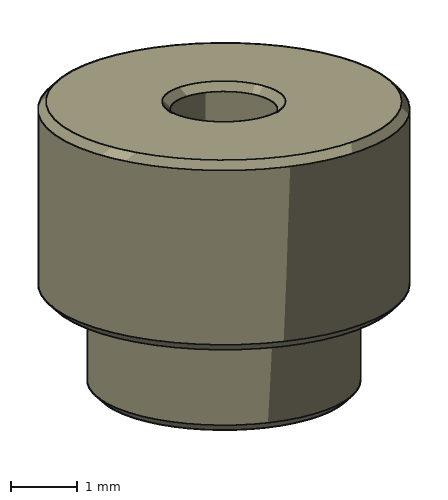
import cadquery as cq

head_diameter = 5.56
boss_diameter = 4.09
bore_diameter = 1.6
total_height = 4.53
head_height = 3.0
edge_chamfer = 0.12

boss_height = total_height - head_height

boss = (
    cq.Workplane("XY")
    .circle(boss_diameter / 2)
    .extrude(boss_height)
    .faces("<Z")
    .chamfer(edge_chamfer)
)

head = (
    cq.Workplane("XY")
    .workplane(offset=boss_height)
    .circle(head_diameter / 2)
    .extrude(head_height)
    .faces("<Z or >Z")
    .chamfer(edge_chamfer)
)

bore = cq.Workplane("XY").circle(bore_diameter / 2).extrude(total_height)

result = (
    head.union(boss)
    .cut(bore)
    .faces(">Z")
    .edges(cq.selectors.RadiusNthSelector(0))
    .chamfer(edge_chamfer)
)